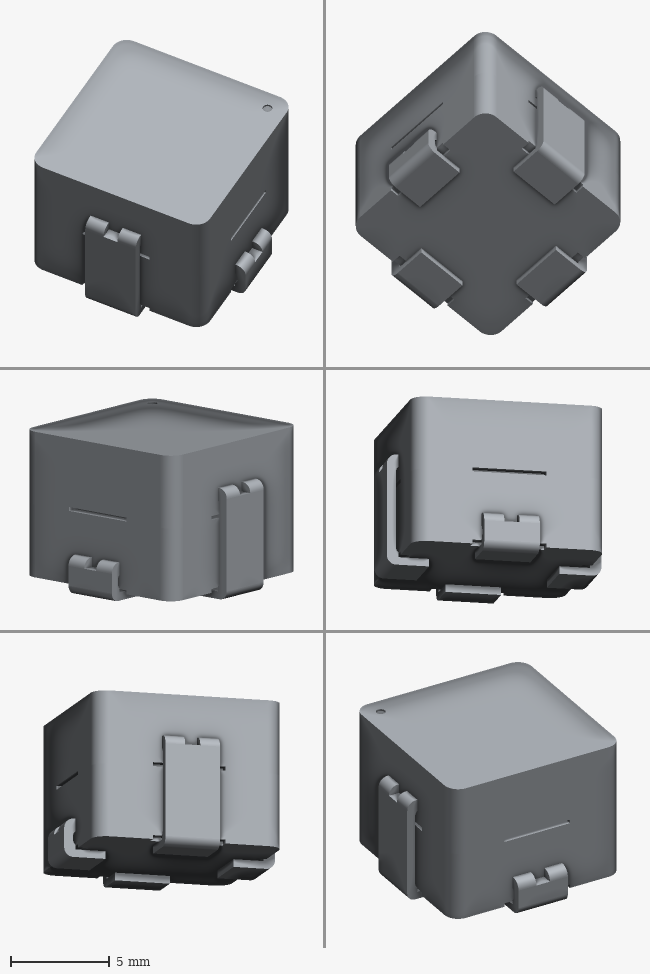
import cadquery as cq

core_width = 10.0
core_half_height = 3.8
core_corner_radius = 0.8

recess_width = 3.85
recess_height = 0.2
recess_depth = 0.5

dot_diameter = 0.5
dot_depth = 0.1
dot_offset = 4.0

overall_width = 11.2
terminal_width = 2.9
foot_thickness = 0.4
foot_length = 2.2
upright_thickness = 0.47
lower_bend_radius = 0.47
upper_bend_radius = 0.5
inner_bend_radius = 0.3
gap_floor = 0.6
tip_thickness = 0.6
notch_width = 0.8
notch_depth = upper_bend_radius
tall_terminal_height = 5.8
short_terminal_height = 2.0

core_bottom = foot_thickness
split_level = core_bottom + core_half_height
core_top = split_level + core_half_height
core_face = core_width / 2
terminal_face = overall_width / 2


def make_core_half(bottom):
    """Rounded square block with a recess at the bottom of each side."""
    block = (
        cq.Workplane("XY", origin=(0, 0, bottom))
        .rect(core_width, core_width)
        .extrude(core_half_height)
        .edges("|Z")
        .fillet(core_corner_radius)
    )
    recess = (
        cq.Workplane("XY")
        .box(recess_depth, recess_width, recess_height, centered=(False, True, False))
        .translate((core_face - recess_depth, 0, bottom))
    )
    for angle in (0, 90, 180, 270):
        block = block.cut(recess.rotate((0, 0, 0), (0, 0, 1), angle))
    return block


def make_terminal(height):
    """Terminal on the +X side: foot, upright and notched tip that meets the core face."""
    strip = (
        cq.Workplane("XZ", origin=(0, terminal_width / 2, 0))
        .moveTo(terminal_face - foot_length, 0)
        .lineTo(terminal_face, 0)
        .lineTo(terminal_face, height)
        .lineTo(core_face, height)
        .lineTo(core_face, foot_thickness)
        .lineTo(terminal_face - foot_length, foot_thickness)
        .close()
        .extrude(terminal_width)
    )
    strip = strip.edges("|Y and >X and <Z").fillet(lower_bend_radius)
    strip = strip.edges("|Y and >X and >Z").fillet(upper_bend_radius)

    gap_depth = 2 * inner_bend_radius
    gap_outer_face = terminal_face - upright_thickness
    gap_height = height - tip_thickness - gap_floor
    gap = (
        cq.Workplane("XY")
        .box(gap_depth, terminal_width, gap_height, centered=(False, True, False))
        .edges("|Y and >X")
        .fillet(inner_bend_radius)
        .translate((gap_outer_face - gap_depth, 0, gap_floor))
    )

    tip_notch = (
        cq.Workplane("XY")
        .box(terminal_face - core_face, notch_width, notch_depth, centered=(False, True, False))
        .translate((core_face, 0, height - notch_depth))
    )
    return strip.cut(gap).cut(tip_notch)


upper_core = make_core_half(split_level)
dot = (
    cq.Workplane("XY", origin=(dot_offset, dot_offset, core_top))
    .circle(dot_diameter / 2)
    .extrude(-dot_depth)
)
upper_core = upper_core.cut(dot)

lower_core = make_core_half(core_bottom)
for angle, height in (
    (0, short_terminal_height),
    (90, tall_terminal_height),
    (180, short_terminal_height),
    (270, tall_terminal_height),
):
    terminal = make_terminal(height).rotate((0, 0, 0), (0, 0, 1), angle)
    lower_core = lower_core.union(terminal)

result = cq.Compound.makeCompound([upper_core.val(), lower_core.val()])